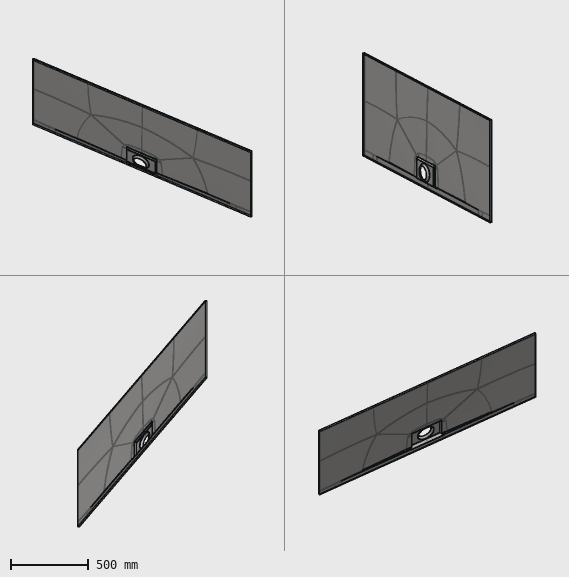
import cadquery as cq

LENGTH = 1600
HEIGHT = 700
RIM_DEPTH = 15
CORNER_RADIUS = 4
EDGE_RADIUS = 3
RIM_WIDTH = 5
INSIDE_X = LENGTH / 2 - RIM_WIDTH
INSIDE_Z = HEIGHT / 2 - RIM_WIDTH

SHEET = 5
TOP_SEAM_X = 400
TOP_SEAM_BOW = (391, 180, 9.5)
SIDE_SEAM_Z = 22
SIDE_SEAM_BOW = (585, 27, 9.5)
KNOT_X = 372
KNOT_Z = 19
KNOT_DEPTH = 13
ARCH_TOP_Z = 115
ARCH_TOP_DEPTH = 13
ARCH_BOW = (210, 81, 13)
ARCH_FOOT_X = 478
ARCH_FOOT_DEPTH = 10.5
ARCH_SIDE_BOW = (440, -140, 12)

LEDGE_TOP_Z = -309
WALL_TOP_Z = -302
LEDGE_TWIST_OUTER_X = 683
LEDGE_TWIST_INNER_X = 636
SIDE_FALL = (ARCH_FOOT_DEPTH - SHEET) / (INSIDE_X - ARCH_FOOT_X)
LEDGE_TWIST_DEPTH = SHEET + SIDE_FALL * (INSIDE_X - LEDGE_TWIST_OUTER_X)
LEDGE_TOP_DEPTH = SHEET + SIDE_FALL * (INSIDE_X - LEDGE_TWIST_INNER_X)

APRON_EDGE_DEPTH = 16.8
APRON_TOP_Z = -122
APRON_SHOULDER_X = 98
APRON_SHOULDER_Z = -130
APRON_CORNER_X = 127
APRON_CORNER_Z = -150
APRON_SIDE_X = 141
APRON_SIDE_Z = -175
APRON_FOOT_X = 151

BOX_DEPTH = 27
BOX_HALF_WIDTH = 103
BOX_SIDE_DRAFT = 0.9
BOX_TOP_Z = -170
BOX_BOTTOM_Z = -299
BOX_FOOT_DEPTH = 18
BOX_FOOT_TOP_Z = -158
BOX_FOOT_BOTTOM_Z = -314

DRAIN_Z = -235
DRAIN_DEPTH = 42
DRAIN_HOLE_RADIUS = 45
DRAIN_TIP_RADIUS = 49
DRAIN_BASE_RADIUS = 62


def line(start, end):
    return cq.Edge.makeLine(cq.Vector(*start), cq.Vector(*end))


def arc(start, middle, end):
    return cq.Edge.makeThreePointArc(cq.Vector(*start), cq.Vector(*middle), cq.Vector(*end))


def polyline(*points):
    return [line(start, end) for start, end in zip(points, points[1:])]


def patch(*edges):
    return cq.Face.makeNSidedSurface(list(edges), [])


def outline_patch(*corners):
    return patch(*polyline(*corners, corners[0]))


def flat_face(*corners):
    outline = cq.Wire.makePolygon([cq.Vector(*corner) for corner in corners], close=True)
    return cq.Face.makeFromWires(outline)


def ledge_depth(z):
    """Depth of the raised middle of the ledge, which slopes from the rim up to the wall."""
    share = (z + INSIDE_Z) / (LEDGE_TOP_Z + INSIDE_Z)
    return SHEET + share * (LEDGE_TOP_DEPTH - SHEET)


def box_side_x(depth):
    """X of the sloping side of the drain box, which widens towards its foot."""
    return BOX_HALF_WIDTH + BOX_SIDE_DRAFT * (BOX_DEPTH - depth)


def half_dish(side, lift):
    """Faces of one half of the dish: side is -1 or +1 for -X or +X, lift moves them towards +Y."""

    def point(x, z, depth):
        return (side * x, lift - depth, z)

    rim_top_centre = point(0, INSIDE_Z, SHEET)
    rim_top_seam = point(TOP_SEAM_X, INSIDE_Z, SHEET)
    rim_top_corner = point(INSIDE_X, INSIDE_Z, SHEET)
    rim_side_seam = point(INSIDE_X, SIDE_SEAM_Z, SHEET)
    rim_ledge = point(INSIDE_X, LEDGE_TOP_Z, SHEET)
    rim_bottom_corner = point(INSIDE_X, -INSIDE_Z, SHEET)
    rim_bottom_outer = point(LEDGE_TWIST_OUTER_X, -INSIDE_Z, SHEET)
    rim_bottom_inner = point(LEDGE_TWIST_INNER_X, -INSIDE_Z, SHEET)
    rim_bottom_centre = point(0, -INSIDE_Z, SHEET)

    knot = point(KNOT_X, KNOT_Z, KNOT_DEPTH)
    arch_top = point(0, ARCH_TOP_Z, ARCH_TOP_DEPTH)
    arch_foot = point(ARCH_FOOT_X, WALL_TOP_Z, ARCH_FOOT_DEPTH)

    ledge_outer = point(LEDGE_TWIST_OUTER_X, LEDGE_TOP_Z, LEDGE_TWIST_DEPTH)
    ledge_inner = point(LEDGE_TWIST_INNER_X, LEDGE_TOP_Z, LEDGE_TOP_DEPTH)
    ledge_box = point(box_side_x(LEDGE_TOP_DEPTH), LEDGE_TOP_Z, LEDGE_TOP_DEPTH)

    apron_top = point(0, APRON_TOP_Z, APRON_EDGE_DEPTH)
    apron_shoulder = point(APRON_SHOULDER_X, APRON_SHOULDER_Z, APRON_EDGE_DEPTH)
    apron_corner = point(APRON_CORNER_X, APRON_CORNER_Z, APRON_EDGE_DEPTH)
    apron_side = point(APRON_SIDE_X, APRON_SIDE_Z, APRON_EDGE_DEPTH)
    apron_foot = point(APRON_FOOT_X, WALL_TOP_Z, APRON_EDGE_DEPTH)

    bottom_depth = ledge_depth(BOX_FOOT_BOTTOM_Z)
    foot_top = point(0, BOX_FOOT_TOP_Z, BOX_FOOT_DEPTH)
    foot_shoulder = point(APRON_SHOULDER_X, BOX_FOOT_TOP_Z, BOX_FOOT_DEPTH)
    foot_corner = point(box_side_x(BOX_FOOT_DEPTH), BOX_FOOT_TOP_Z, BOX_FOOT_DEPTH)
    foot_side = point(box_side_x(BOX_FOOT_DEPTH), APRON_SIDE_Z, BOX_FOOT_DEPTH)
    foot_wall = point(box_side_x(BOX_FOOT_DEPTH), WALL_TOP_Z, BOX_FOOT_DEPTH)
    foot_bottom = point(box_side_x(bottom_depth), BOX_FOOT_BOTTOM_Z, bottom_depth)
    foot_bottom_centre = point(0, BOX_FOOT_BOTTOM_Z, bottom_depth)
    box_top_centre = point(0, BOX_TOP_Z, BOX_DEPTH)
    box_top = point(BOX_HALF_WIDTH, BOX_TOP_Z, BOX_DEPTH)
    box_bottom = point(BOX_HALF_WIDTH, BOX_BOTTOM_Z, BOX_DEPTH)
    box_bottom_centre = point(0, BOX_BOTTOM_Z, BOX_DEPTH)

    top_seam = arc(rim_top_seam, point(*TOP_SEAM_BOW), knot)
    side_seam = arc(rim_side_seam, point(*SIDE_SEAM_BOW), knot)
    arch = arc(knot, point(*ARCH_BOW), arch_top)
    arch_side = arc(knot, point(*ARCH_SIDE_BOW), arch_foot)
    spoke = line(knot, apron_corner)

    panels = [
        patch(top_seam, arch, *polyline(arch_top, rim_top_centre, rim_top_seam)),
        patch(top_seam, side_seam, *polyline(rim_side_seam, rim_top_corner, rim_top_seam)),
        patch(
            side_seam,
            arch_side,
            *polyline(arch_foot, ledge_inner, ledge_outer, rim_ledge, rim_side_seam),
        ),
        patch(arch, spoke, *polyline(apron_corner, apron_shoulder, apron_top, arch_top)),
        patch(arch_side, spoke, *polyline(apron_corner, apron_side, apron_foot, arch_foot)),
    ]
    ledge = [
        outline_patch(rim_ledge, ledge_outer, rim_bottom_outer, rim_bottom_corner),
        outline_patch(ledge_outer, ledge_inner, rim_bottom_inner, rim_bottom_outer),
        flat_face(
            ledge_inner,
            ledge_box,
            foot_bottom,
            foot_bottom_centre,
            rim_bottom_centre,
            rim_bottom_inner,
        ),
    ]
    wall = [outline_patch(ledge_inner, arch_foot, apron_foot, foot_wall, ledge_box)]
    apron = [
        outline_patch(apron_top, apron_shoulder, foot_shoulder, foot_top),
        outline_patch(apron_shoulder, apron_corner, apron_side, foot_side, foot_corner, foot_shoulder),
        outline_patch(apron_side, apron_foot, foot_wall, foot_side),
    ]
    box = [
        flat_face(foot_top, foot_shoulder, foot_corner, box_top, box_top_centre),
        flat_face(foot_corner, foot_side, foot_wall, ledge_box, foot_bottom, box_bottom, box_top),
        flat_face(foot_bottom, foot_bottom_centre, box_bottom_centre, box_bottom),
        flat_face(box_top_centre, box_top, box_bottom, box_bottom_centre),
    ]
    return panels + ledge + wall + apron + box


def rim_opening(depth):
    """Corners of the rectangle inside the rim, with the ends of the panel seams."""
    half = [
        (0, INSIDE_Z),
        (TOP_SEAM_X, INSIDE_Z),
        (INSIDE_X, INSIDE_Z),
        (INSIDE_X, SIDE_SEAM_Z),
        (INSIDE_X, LEDGE_TOP_Z),
        (INSIDE_X, -INSIDE_Z),
        (LEDGE_TWIST_OUTER_X, -INSIDE_Z),
        (LEDGE_TWIST_INNER_X, -INSIDE_Z),
        (0, -INSIDE_Z),
    ]
    other_half = [(-x, z) for x, z in reversed(half[1:-1])]
    return [(x, -depth, z) for x, z in half + other_half]


def rim_ring(full_face, opening):
    return cq.Face.makeFromWires(full_face.outerWire(), [cq.Wire.makePolygon(opening, close=True)])


def dished_tray():
    """Rounded rim around a sheet whose two sides are the same dish, one sheet thickness apart."""
    blank = (
        cq.Workplane("XZ")
        .rect(LENGTH, HEIGHT)
        .extrude(RIM_DEPTH)
        .edges("|Y")
        .fillet(CORNER_RADIUS)
        .faces("<Y or >Y")
        .edges()
        .fillet(EDGE_RADIUS)
    )
    underside = blank.faces("<Y").val()
    upper_side = blank.faces(">Y").val()
    faces = [
        face
        for face in blank.faces().vals()
        if not (face.isSame(underside) or face.isSame(upper_side))
    ]
    low_opening = [cq.Vector(*corner) for corner in rim_opening(RIM_DEPTH)]
    high_opening = [cq.Vector(*corner) for corner in rim_opening(0)]
    faces.append(rim_ring(underside, low_opening))
    faces.append(rim_ring(upper_side, high_opening))

    corners = rim_opening(SHEET)
    edge_corners = rim_opening(RIM_DEPTH)
    for index in range(len(corners)):
        faces.append(
            flat_face(corners[index - 1], corners[index], edge_corners[index], edge_corners[index - 1])
        )
    for side in (-1, 1):
        faces += half_dish(side, 0)
        faces += half_dish(side, SHEET)
    return cq.Workplane(cq.Solid.makeSolid(cq.Shell.makeShell(faces)))


def outlet_cone(base_radius, tip_radius):
    cone = cq.Solid.makeCone(
        base_radius,
        tip_radius,
        DRAIN_DEPTH - BOX_DEPTH,
        pnt=cq.Vector(0, -BOX_DEPTH, DRAIN_Z),
        dir=cq.Vector(0, -1, 0),
    )
    return cq.Workplane(cone)


def outlet_bore():
    """Conical bore of the outlet, opening straight through the sheet of the box front."""
    lip = DRAIN_TIP_RADIUS - DRAIN_HOLE_RADIUS
    bore_base_radius = DRAIN_BASE_RADIUS - lip
    opening = cq.Workplane("XZ", origin=(0, 0, DRAIN_Z)).circle(bore_base_radius).extrude(BOX_DEPTH)
    return outlet_cone(bore_base_radius, DRAIN_HOLE_RADIUS).union(opening)


result = (
    dished_tray()
    .union(outlet_cone(DRAIN_BASE_RADIUS, DRAIN_TIP_RADIUS), clean=False)
    .cut(outlet_bore(), clean=False)
    .solids()
)